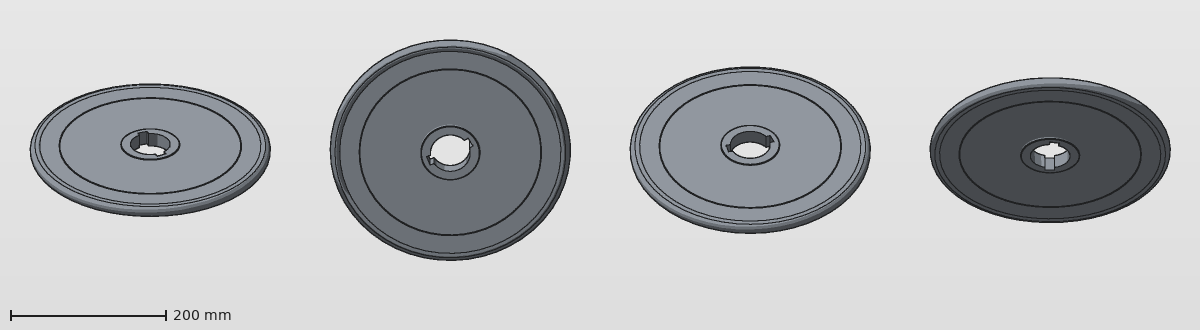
import cadquery as cq

outer_diameter = 309.8
rim_tube_radius = 8.0
rim_center_radius = outer_diameter / 2 - rim_tube_radius

disc_diameter = 297.5
disc_thickness = 13.5
disc_half = disc_thickness / 2

groove_diameter = 234.2
groove_width = 1.0
groove_depth = 0.5

hub_diameter = 76.2
hub_height = 19.0
hub_half = hub_height / 2
hub_edge_chamfer = 1.0
hub_root_fillet = 1.5

bore_diameter = 51.0
keyway_width = 12.5
keyway_reach = 30.5
keyway_angles = (0.0, 170.0)


def cylinder(diameter, height):
    """Cylinder about Z, centered on the middle plane."""
    bottom = cq.Workplane("XY", origin=(0, 0, -height / 2))
    return bottom.circle(diameter / 2).extrude(height)


def make_upper_hub():
    """Revolved upper half of the hub, with its root fillet and edge chamfer."""
    radius = hub_diameter / 2
    return (
        cq.Workplane("XZ")
        .lineTo(radius + hub_root_fillet, 0)
        .lineTo(radius + hub_root_fillet, disc_half)
        .radiusArc((radius, disc_half + hub_root_fillet), hub_root_fillet)
        .lineTo(radius, hub_half - hub_edge_chamfer)
        .lineTo(radius - hub_edge_chamfer, hub_half)
        .lineTo(0, hub_half)
        .close()
        .revolve(360, (0, 0, 0), (0, 1, 0))
    )


def face_groove():
    """Ring cut into the upper disc face."""
    return (
        cq.Workplane("XY", origin=(0, 0, disc_half - groove_depth))
        .circle((groove_diameter + groove_width) / 2)
        .circle((groove_diameter - groove_width) / 2)
        .extrude(groove_depth)
    )


def keyway(angle):
    """Rectangular slot from the axis outward, turned about Z."""
    return (
        cq.Workplane("XY")
        .box(keyway_reach, keyway_width, hub_height, centered=(False, True, True))
        .rotate((0, 0, 0), (0, 0, 1), angle)
    )


def make_wheel():
    """Disc and hub with grooves, bore and keyways."""
    upper_hub = make_upper_hub()
    upper_groove = face_groove()
    wheel = cylinder(disc_diameter, disc_thickness)
    wheel = wheel.union(upper_hub).union(upper_hub.mirror("XY"))
    wheel = wheel.cut(upper_groove).cut(upper_groove.mirror("XY"))
    wheel = wheel.cut(cylinder(bore_diameter, hub_height))
    for angle in keyway_angles:
        wheel = wheel.cut(keyway(angle))
    return wheel


def make_rim():
    """Round-section ring with a recess that fits the disc edge."""
    ring = (
        cq.Workplane("XZ")
        .transformed(rotate=(0, 0, 180), offset=(rim_center_radius, 0, 0))
        .circle(rim_tube_radius)
        .revolve(360, (rim_center_radius, 0, 0), (rim_center_radius, 1, 0))
    )
    return ring.cut(cylinder(disc_diameter, disc_thickness))


wheel = make_wheel()
rim = make_rim()

result = cq.Compound.makeCompound([wheel.val(), rim.val()])